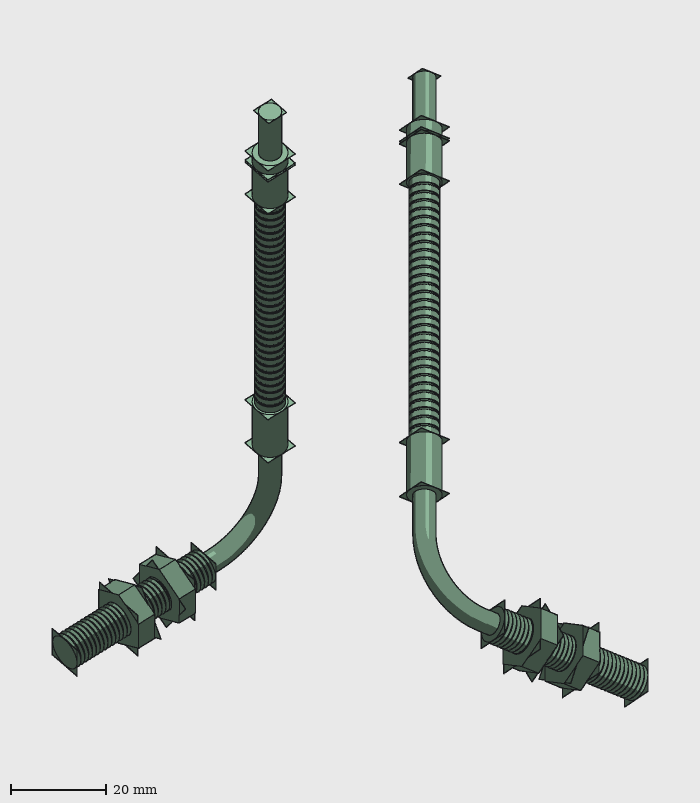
import cadquery as cq
import math


OVERALL_HEIGHT = 136.3
OVERALL_DEPTH = 60.1
NUT_STAR_SPAN = 17.0
TOP_Z = OVERALL_HEIGHT - NUT_STAR_SPAN / 2
PLATE_THICKNESS = 0.07

CABLE_DIAMETER = 4.9
BEND_RADIUS = 15.3

FERRULE_DIAMETER = 7.5
FERRULE_LENGTH = 13.4
UPPER_FERRULE_TOP = TOP_Z - 12.7
LOWER_FERRULE_TOP = TOP_Z - 89.5
COLLAR_HEIGHT = 2.9
GROOVE_WIDTH = 0.5
GROOVE_FLOOR_DIAMETER = 5.2

HOSE_DIAMETER = 6.5
HOSE_RING_COUNT = 31
HOSE_GROOVE_WIDTH = 0.5
HOSE_GROOVE_DEPTH = 0.3
HOSE_BOTTOM = LOWER_FERRULE_TOP
HOSE_TOP = UPPER_FERRULE_TOP - FERRULE_LENGTH

THREAD_DIAMETER = 8.0
THREAD_ROOT_DIAMETER = 7.0
THREAD_COUNT = 36
BARREL_LENGTH = 38.2
BARREL_FRONT_Y = FERRULE_DIAMETER / 2 - OVERALL_DEPTH
BARREL_REAR_Y = BARREL_FRONT_Y + BARREL_LENGTH

NUT_ACROSS_FLATS = 13.0
NUT_THICKNESS = 4.5
HEXAGON_SIDES = 6
FLAT_TO_CORNER_ANGLE = 180 / HEXAGON_SIDES
NUT_PLATE_TURN = 30.0
NUT_PLATE_SIDE = NUT_STAR_SPAN / (math.sqrt(2) * math.cos(math.radians(45 - NUT_PLATE_TURN)))
NUT_PLACES = [
    (-30.4, 0.0, NUT_PLATE_TURN),
    (-41.6, -NUT_PLATE_TURN, 0.0),
]


def upright_cylinder(diameter, bottom, height):
    return cq.Workplane("XY", origin=(0, 0, bottom)).circle(diameter / 2).extrude(height)


def level_plate(side, bottom):
    """Thin square plate, level, centred on the upright cable."""
    return cq.Workplane("XY", origin=(0, 0, bottom)).rect(side, side).extrude(PLATE_THICKNESS)


def standing_plate(side, front, turn=0.0):
    """Thin square plate across the barrel axis, turned about that axis by `turn` degrees."""
    plate = cq.Workplane("XZ", origin=(0, front, 0)).rect(side, side).extrude(-PLATE_THICKNESS)
    return plate.rotate((0, 0, 0), (0, 1, 0), turn)


def make_cable():
    """Round cable, upright at the top and bent forward into the rear of the barrel."""
    path = (
        cq.Workplane("YZ")
        .moveTo(0, TOP_Z)
        .lineTo(0, BEND_RADIUS)
        .radiusArc((-BEND_RADIUS, 0), BEND_RADIUS)
        .lineTo(BARREL_REAR_Y, 0)
    )
    cable = cq.Workplane("XY", origin=(0, 0, TOP_Z)).circle(CABLE_DIAMETER / 2).sweep(path)
    return cable.union(level_plate(CABLE_DIAMETER, TOP_Z - PLATE_THICKNESS))


def make_sleeve(top, height):
    """Tube around the cable with a square plate flush with each end."""
    bottom = top - height
    sleeve = upright_cylinder(FERRULE_DIAMETER, bottom, height)
    for plate_bottom in (bottom, top - PLATE_THICKNESS):
        sleeve = sleeve.union(level_plate(FERRULE_DIAMETER, plate_bottom))
    return sleeve.cut(upright_cylinder(CABLE_DIAMETER, bottom, height))


def make_upper_ferrule():
    """Ferrule divided by a narrow groove into a collar and a longer sleeve on one thin neck."""
    collar = make_sleeve(UPPER_FERRULE_TOP, COLLAR_HEIGHT)
    sleeve_top = UPPER_FERRULE_TOP - COLLAR_HEIGHT - GROOVE_WIDTH
    sleeve = make_sleeve(sleeve_top, FERRULE_LENGTH - COLLAR_HEIGHT - GROOVE_WIDTH)
    neck = upright_cylinder(GROOVE_FLOOR_DIAMETER, sleeve_top, GROOVE_WIDTH)
    neck = neck.cut(upright_cylinder(CABLE_DIAMETER, sleeve_top, GROOVE_WIDTH))
    return sleeve.union(neck).union(collar)


def make_lower_ferrule():
    return make_sleeve(LOWER_FERRULE_TOP, FERRULE_LENGTH)


def make_hose():
    """Hose with evenly spaced square grooves, revolved from one half section."""
    outer = HOSE_DIAMETER / 2
    groove_floor = outer - HOSE_GROOVE_DEPTH
    pitch = (HOSE_TOP - HOSE_BOTTOM) / HOSE_RING_COUNT
    points = [(CABLE_DIAMETER / 2, HOSE_BOTTOM), (outer, HOSE_BOTTOM)]
    for ring in range(1, HOSE_RING_COUNT):
        groove_bottom = HOSE_BOTTOM + ring * pitch - HOSE_GROOVE_WIDTH / 2
        groove_top = groove_bottom + HOSE_GROOVE_WIDTH
        points += [
            (outer, groove_bottom),
            (groove_floor, groove_bottom),
            (groove_floor, groove_top),
            (outer, groove_top),
        ]
    points += [(outer, HOSE_TOP), (CABLE_DIAMETER / 2, HOSE_TOP)]
    return cq.Workplane("XZ").polyline(points).close().revolve(360, (0, 0, 0), (0, 1, 0))


def make_barrel():
    """Solid barrel with V-shaped thread ridges, revolved about the Y axis."""
    pitch = BARREL_LENGTH / THREAD_COUNT
    points = [(0, BARREL_FRONT_Y), (THREAD_DIAMETER / 2, BARREL_FRONT_Y)]
    for ridge in range(THREAD_COUNT):
        ridge_front = BARREL_FRONT_Y + ridge * pitch
        points += [
            (THREAD_ROOT_DIAMETER / 2, ridge_front + pitch / 2),
            (THREAD_DIAMETER / 2, ridge_front + pitch),
        ]
    points.append((0, BARREL_REAR_Y))
    barrel = cq.Workplane("XY").polyline(points).close().revolve(360, (0, 0, 0), (0, 1, 0))
    for plate_front in (BARREL_FRONT_Y, BARREL_REAR_Y - PLATE_THICKNESS):
        barrel = barrel.union(standing_plate(THREAD_DIAMETER, plate_front))
    return barrel


def make_nut(front, rear_turn, front_turn):
    """Hexagon nut, corners up and down, with a thin square plate flush with each face."""
    across_corners = NUT_ACROSS_FLATS / math.cos(math.radians(FLAT_TO_CORNER_ANGLE))
    section = cq.Workplane("XZ", origin=(0, front, 0))
    nut = section.polygon(HEXAGON_SIDES, across_corners).extrude(-NUT_THICKNESS)
    nut = nut.rotate((0, 0, 0), (0, 1, 0), FLAT_TO_CORNER_ANGLE)
    rear_plate_front = front + NUT_THICKNESS - PLATE_THICKNESS
    nut = nut.union(standing_plate(NUT_PLATE_SIDE, rear_plate_front, rear_turn))
    nut = nut.union(standing_plate(NUT_PLATE_SIDE, front, front_turn))
    return nut.cut(section.circle(THREAD_DIAMETER / 2).extrude(-NUT_THICKNESS))


cable = make_cable()
upper_ferrule = make_upper_ferrule()
lower_ferrule = make_lower_ferrule()
hose = make_hose()
barrel = make_barrel()
nuts = [make_nut(*place) for place in NUT_PLACES]

result = cq.Compound.makeCompound(
    [cable.val(), upper_ferrule.val(), lower_ferrule.val(), hose.val(), barrel.val()]
    + [nut.val() for nut in nuts]
)